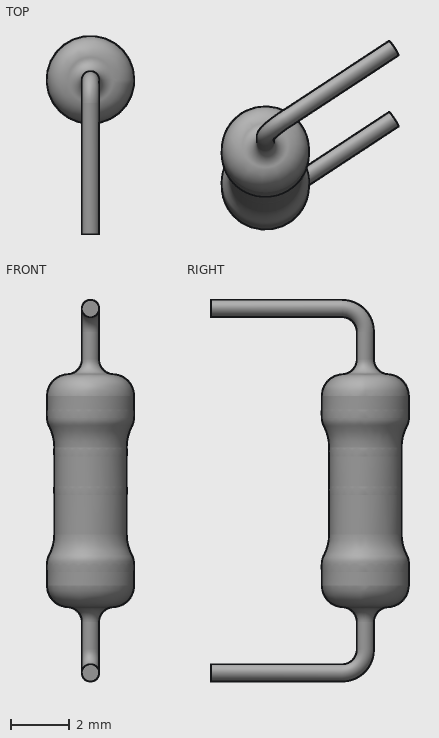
import cadquery as cq
import math


body_half_length = 4.0
cap_radius = 1.5
waist_radius = 1.25
shoulder_radius = 0.75
cap_inner_z = 2.5
taper_joint_z = 2.225
waist_end_z = 1.5

band_pitch = 1.32
band_width = 0.28
band_bulge = 0.01

lead_radius = 0.3
neck_fillet = 0.5
bend_radius = 0.8
lead_reach = 5.3
lead_pitch = 12.5


def point_on_arc(centre, radius, toward):
    """Point at the given radius from an arc centre, in the direction of another point."""
    reach = radius / math.dist(centre, toward)
    return (
        centre[0] + reach * (toward[0] - centre[0]),
        centre[1] + reach * (toward[1] - centre[1]),
    )


def midpoint(start, end):
    return ((start[0] + end[0]) / 2, (start[1] + end[1]) / 2)


def upper_body():
    """Upper half of the body, revolved from a (radius, z) outline."""
    shoulder_centre = (cap_radius - shoulder_radius, body_half_length - shoulder_radius)
    shoulder_end = (cap_radius, shoulder_centre[1])

    neck_centre_r = lead_radius + neck_fillet
    neck_offset_r = neck_centre_r - shoulder_centre[0]
    neck_rise = math.sqrt((shoulder_radius + neck_fillet) ** 2 - neck_offset_r**2)
    neck_centre = (neck_centre_r, shoulder_centre[1] + neck_rise)
    neck_top = (lead_radius, neck_centre[1])
    contact = point_on_arc(shoulder_centre, shoulder_radius, neck_centre)

    shoulder_middle = point_on_arc(shoulder_centre, shoulder_radius, midpoint(shoulder_end, contact))
    neck_middle = point_on_arc(neck_centre, neck_fillet, midpoint(contact, neck_top))

    taper_length = cap_inner_z - waist_end_z
    convex_fraction = (cap_inner_z - taper_joint_z) / taper_length
    taper_joint_radius = cap_radius - convex_fraction * (cap_radius - waist_radius)

    return (
        cq.Workplane("XZ")
        .lineTo(waist_radius, 0)
        .lineTo(waist_radius, waist_end_z)
        .tangentArcPoint((taper_joint_radius, taper_joint_z), relative=False)
        .tangentArcPoint((cap_radius, cap_inner_z), relative=False)
        .lineTo(*shoulder_end)
        .threePointArc(shoulder_middle, contact)
        .threePointArc(neck_middle, neck_top)
        .lineTo(0, neck_top[1])
        .close()
        .revolve(360, (0, 0, 0), (0, 1, 0))
    )


def band(centre_z, wall_radius):
    """Barrel-shaped colour band on a straight wall of the body."""
    bottom = centre_z - band_width / 2
    top = centre_z + band_width / 2
    return (
        cq.Workplane("XZ")
        .moveTo(0, bottom)
        .lineTo(wall_radius, bottom)
        .threePointArc((wall_radius + band_bulge, centre_z), (wall_radius, top))
        .lineTo(0, top)
        .close()
        .revolve(360, (0, 0, 0), (0, 1, 0))
    )


def upper_lead():
    """Lead rising along the axis, bent through 90 degrees toward -Y."""
    lead_z = lead_pitch / 2
    root_z = body_half_length
    path = (
        cq.Workplane("YZ")
        .moveTo(0, root_z)
        .lineTo(0, lead_z - bend_radius)
        .tangentArcPoint((-bend_radius, lead_z), relative=False)
        .lineTo(-lead_reach, lead_z)
    )
    return cq.Workplane("XY").workplane(offset=root_z).circle(lead_radius).sweep(path)


upper_half = upper_body().union(upper_lead())
result = upper_half.union(upper_half.mirror("XY"))

bands = [
    (2 * band_pitch, cap_radius),
    (band_pitch, waist_radius),
    (0, waist_radius),
    (-2 * band_pitch, cap_radius),
]
for band_z, band_wall_radius in bands:
    result = result.union(band(band_z, band_wall_radius))